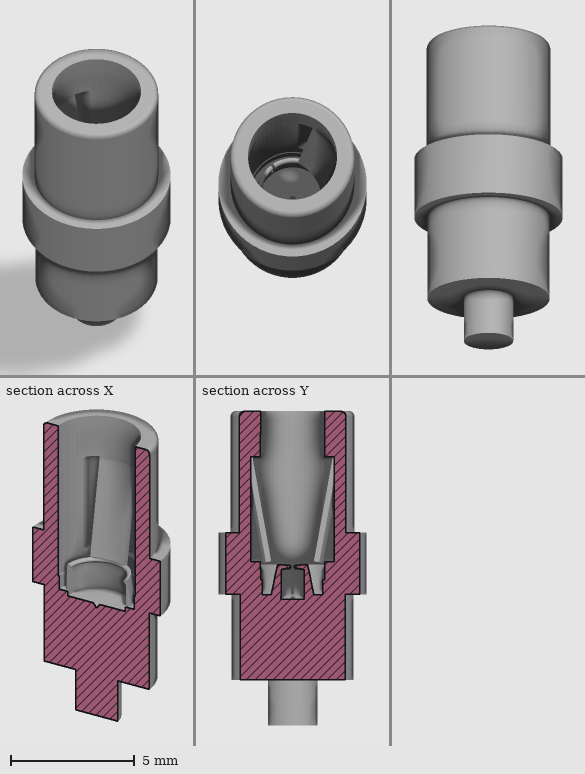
import cadquery as cq
import math

overall_height = 12.7
pin_diameter = 2.0
pin_length = 1.83
lower_diameter = 4.95
collar_diameter = 6.0
collar_bottom = 5.3
collar_height = 2.5
sleeve_diameter = 5.0
rim_fillet = 0.2
collar_top = collar_bottom + collar_height

bore_radius = 1.8
lower_bore_radius = 1.75
bore_floor = collar_bottom
lower_bore_height = 0.6
bore_step = bore_floor + lower_bore_height

window_drop = 1.83
window_width = 2.66
window_outer_radius = 2.1
window_corner_radius = 0.15
window_top = overall_height - window_drop
window_depth_below_collar = 1.2
window_bottom = collar_top - window_depth_below_collar
finger_width = 1.62
finger_thickness = 0.2
finger_root_drop = 0.12
finger_lean = 0.75
finger_root = window_top - finger_root_drop
finger_tip = window_bottom
finger_height = finger_root - finger_tip

ring_height = 1.2
ring_base_radius = 1.53
ring_tip_radius = 1.40
ring_inner_radius = 1.34
ring_lip_radius = 1.23
lip_round = ring_inner_radius - ring_lip_radius
slit_width = 0.12
slit_mouth_radius = 1.42
well_depth = 0.2
well_floor = bore_floor - well_depth

dimple_radius = 0.15
dimple_depth = 0.2


def cylinder(radius, bottom, top):
    """Upright cylinder on the Z axis between two heights."""
    return cq.Workplane("XY").workplane(offset=bottom).circle(radius).extrude(top - bottom)


def outer_body():
    """Solder pin, lower barrel, collar and the sleeve with its rounded rim."""
    pin = cylinder(pin_diameter / 2, 0, pin_length)
    lower = cylinder(lower_diameter / 2, pin_length, collar_bottom)
    collar = cylinder(collar_diameter / 2, collar_bottom, collar_top)
    sleeve = cylinder(sleeve_diameter / 2, collar_top, overall_height)
    sleeve = sleeve.faces(">Z").edges().fillet(rim_fillet)
    return pin.union(lower).union(collar).union(sleeve)


def bore():
    """Main bore with a slightly narrower bottom section and a shallow well inside the ring."""
    well = cylinder(ring_inner_radius, well_floor, bore_floor)
    lower = cylinder(lower_bore_radius, bore_floor, bore_step)
    return well.union(lower).union(cylinder(bore_radius, bore_step, overall_height))


def latch_windows():
    """Pockets in the bore wall on the +X and -X sides, rounded at their corners."""
    height = window_top - window_bottom
    passage = (
        cq.Workplane("XY")
        .box(2 * window_outer_radius, window_width, height)
        .edges("|X")
        .fillet(window_corner_radius)
        .translate((0, 0, window_bottom + height / 2))
    )
    return passage.intersect(cylinder(window_outer_radius, window_bottom, window_top))


def spring_finger():
    """Curved finger on the +X side that leans towards the axis as it goes down."""
    lean_angle = math.degrees(math.atan2(finger_lean, finger_height))
    finger_length = math.hypot(finger_lean, finger_height)
    outer_radius = bore_radius + finger_thickness
    strip = (
        cylinder(outer_radius, finger_root - finger_length, finger_root)
        .cut(cylinder(bore_radius, finger_root - finger_length, finger_root))
        .intersect(
            cq.Workplane("XY")
            .box(outer_radius, finger_width, finger_length, centered=(False, True, False))
            .translate((0, 0, finger_root - finger_length))
        )
    )
    hinge_start = (bore_radius, 0, finger_root)
    hinge_end = (bore_radius, 1, finger_root)
    leaning = strip.rotate(hinge_start, hinge_end, lean_angle)
    root = (
        cylinder(outer_radius, finger_root, window_top)
        .cut(cylinder(bore_radius, finger_root, window_top))
        .intersect(
            cq.Workplane("XY")
            .box(outer_radius, finger_width, overall_height, centered=(False, True, False))
        )
    )
    return leaning.union(root)


def contact_ring():
    """Tapered ring with a rounded inner lip, slit along Y; the slits flare at 45 degrees on the outside."""
    top = bore_floor + ring_height
    arc_middle = lip_round * (1 - math.sqrt(0.5))
    ring = (
        cq.Workplane("XZ")
        .moveTo(ring_inner_radius, bore_floor)
        .lineTo(ring_base_radius, bore_floor)
        .lineTo(ring_tip_radius, top)
        .lineTo(ring_inner_radius, top)
        .threePointArc(
            (ring_lip_radius + arc_middle, top - arc_middle),
            (ring_lip_radius, top - lip_round),
        )
        .lineTo(ring_inner_radius, top - 2 * lip_round)
        .close()
        .revolve(360, (0, 0, 0), (0, 1, 0))
    )
    slit = (
        cq.Workplane("XY")
        .box(slit_width, 2 * ring_base_radius, ring_height, centered=(True, True, False))
        .translate((0, 0, bore_floor))
    )
    mouth_depth = ring_base_radius - slit_mouth_radius
    slit_mouth = (
        cq.Workplane("XY")
        .workplane(offset=bore_floor)
        .moveTo(-slit_width / 2, slit_mouth_radius)
        .lineTo(slit_width / 2, slit_mouth_radius)
        .lineTo(slit_width / 2 + mouth_depth, ring_base_radius)
        .lineTo(-slit_width / 2 - mouth_depth, ring_base_radius)
        .close()
        .extrude(ring_height)
    )
    return ring.cut(slit).cut(slit_mouth).cut(slit_mouth.mirror("XZ"))


def dimple():
    """Downward-pointing cone sunk into the floor of the well."""
    cone = cq.Solid.makeCone(
        0, dimple_radius, dimple_depth, pnt=cq.Vector(0, 0, well_floor - dimple_depth)
    )
    return cq.Workplane(cone)


finger = spring_finger()
result = (
    outer_body()
    .cut(bore())
    .cut(latch_windows())
    .cut(dimple())
    .union(contact_ring())
    .union(finger)
    .union(finger.mirror("YZ"))
)